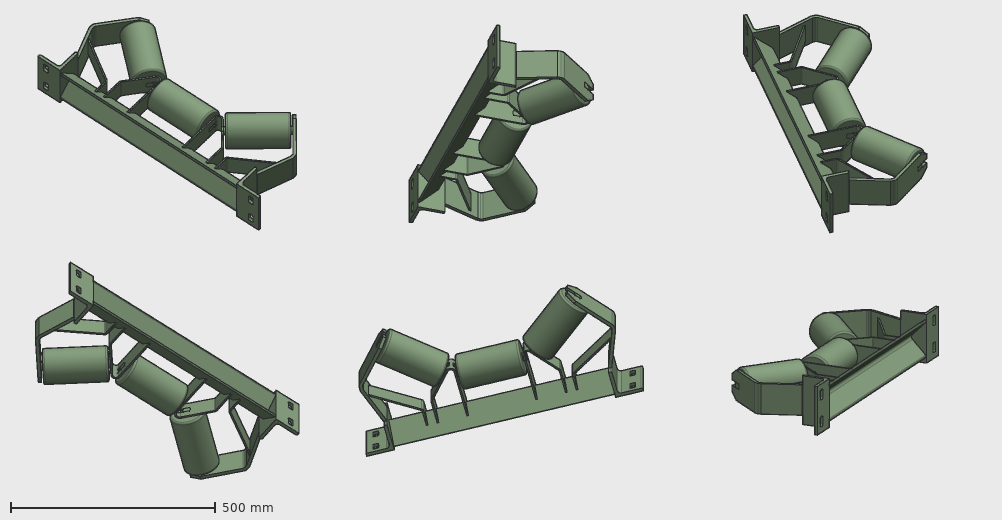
import cadquery as cq
import math

TOTAL_LENGTH = 700.0
HALF_LENGTH = TOTAL_LENGTH / 2

BRACKET_LEG = 70.0
BRACKET_THICKNESS = 8.5
BRACKET_HEIGHT = 125.0
BRACKET_ROOT_RADIUS = 9.0
BRACKET_TOE_RADIUS = 3.5
FOOT_SLOT_WIDTH = 14.0
FOOT_SLOT_LENGTH = 25.0
FOOT_SLOT_CORNER_RADIUS = 3.5
FOOT_SLOT_EDGE_DISTANCE = 25.0
FOOT_SLOT_SPACING = 69.0

BEAM_HALF_LENGTH = HALF_LENGTH - BRACKET_LEG
BEAM_LEG = 70.0
BEAM_THICKNESS = 6.0
BEAM_ROOT_RADIUS = 9.0
BEAM_TOE_RADIUS = 4.0
BEAM_APEX_Y = 53.0

ROLLER_DIAMETER = 89.0
ROLLER_LENGTH = 160.0
ROLLER_EDGE_RADIUS = 5.0
AXLE_DIAMETER = 20.0
AXLE_FLAT_WIDTH = 14.0
AXLE_GAP = 5.0
SLOT_OPENING_LENGTH = ROLLER_DIAMETER
TROUGH_ANGLE = 40.0
CENTRE_ROLLER_Y = 135.0
SIDE_ROLLER_X = 182.0
SIDE_ROLLER_Y = 201.5

SEAT_DISTANCE = ROLLER_LENGTH / 2 + AXLE_GAP

ARM_THICKNESS = 8.5
ARM_HEIGHT = 78.5
ARM_LOWER_ANGLE = 20.0
ARM_BEND_RADIUS = 8.5
ARM_KINK_Y = 165.0
ARM_TIP_Y = 285.5
ARM_TIP_CHAMFER_LENGTH = 25.0
ARM_TIP_CHAMFER_HEIGHT = 17.0

PLATE_THICKNESS = 4.0
PLATE_DEPTH_BELOW_APEX = 26.0
PLATE_END_Y = BEAM_APEX_Y - PLATE_DEPTH_BELOW_APEX
PLATE_HEIGHT = 53.0
HAIRPIN_OUTER_LEG_X = 162.5
HAIRPIN_TOP_RADIUS = 8.5
HAIRPIN_FOOT_RADIUS = 4.0
STRUT_LEG_X = 190.0
STRUT_BEND_Y = 70.0
STRUT_ANGLE = 31.7
STRUT_LENGTH = 140.0
STRUT_BEND_RADIUS = 4.0

TROUGH_COS = math.cos(math.radians(TROUGH_ANGLE))
TROUGH_SIN = math.sin(math.radians(TROUGH_ANGLE))


def mirrored(shape):
    """The same shape on the other side of the YZ plane."""
    return shape.mirror("YZ")


def normal_of(start, end):
    """Unit vector to the left of the direction from start to end."""
    dx = end[0] - start[0]
    dy = end[1] - start[1]
    length = math.hypot(dx, dy)
    return (-dy / length, dx / length)


def offset_path(points, distance):
    """Polyline parallel to the given one, with mitred corners."""
    normals = [normal_of(a, b) for a, b in zip(points, points[1:])]
    before = [normals[0]] + normals
    after = normals + [normals[-1]]
    moved = []
    for (x, y), n1, n2 in zip(points, before, after):
        mitre = distance / (1 + n1[0] * n2[0] + n1[1] * n2[1])
        moved.append((x + mitre * (n1[0] + n2[0]), y + mitre * (n1[1] + n2[1])))
    return moved


def bent_strip(points, thickness, height, bend_radii):
    """Flat bar bent along a centre line, one inner radius per bend (0 leaves it sharp)."""
    left = offset_path(points, thickness / 2)
    right = offset_path(points, -thickness / 2)
    strip = cq.Workplane("XY").polyline(left + right[::-1]).close().extrude(height)
    strip = strip.translate((0, 0, -height / 2))
    corners = zip(points, points[1:], points[2:], left[1:], right[1:], bend_radii)
    for start, bend, end, left_corner, right_corner, radius in corners:
        if radius == 0:
            continue
        n = normal_of(start, bend)
        turns_left = n[0] * (end[0] - bend[0]) + n[1] * (end[1] - bend[1]) > 0
        inner, outer = (left_corner, right_corner) if turns_left else (right_corner, left_corner)
        for corner, edge_radius in ((inner, radius), (outer, radius + thickness)):
            picker = cq.selectors.NearestToPointSelector((corner[0], corner[1], 0))
            strip = strip.edges("|Z").edges(picker).fillet(edge_radius)
    return strip


def angle_section(leg, thickness, root_radius, toe_radius, length):
    """Angle bar along Z with its outer corner on the origin and its legs along +X and +Y."""
    outline = [(0, 0), (leg, 0), (leg, thickness), (thickness, thickness), (thickness, leg), (0, leg)]
    bar = cq.Workplane("XY").workplane(offset=-length / 2).polyline(outline).close().extrude(length)
    corner = cq.selectors.NearestToPointSelector((thickness, thickness, 0))
    bar = bar.edges("|Z").edges(corner).fillet(root_radius)
    for toe in ((leg, thickness, 0), (thickness, leg, 0)):
        bar = bar.edges("|Z").edges(cq.selectors.NearestToPointSelector(toe)).fillet(toe_radius)
    return bar


def on_side_roller(shape):
    """Moves a shape built along X about the origin onto the axis of the left side roller."""
    return shape.rotate((0, 0, 0), (0, 0, 1), -TROUGH_ANGLE).translate((-SIDE_ROLLER_X, SIDE_ROLLER_Y, 0))


def on_centre_roller(shape):
    """Moves a shape built along X about the origin onto the axis of the centre roller."""
    return shape.translate((0, CENTRE_ROLLER_Y, 0))


def roller_point(along, across):
    """Point of the left side roller's own axes: along its axis, and square to it towards +Y."""
    x = -SIDE_ROLLER_X + along * TROUGH_COS + across * TROUGH_SIN
    y = SIDE_ROLLER_Y - along * TROUGH_SIN + across * TROUGH_COS
    return (x, y)



def rod(diameter, start, end):
    """Cylinder around the X axis between two places along it."""
    return cq.Workplane("YZ").workplane(offset=start).circle(diameter / 2).extrude(end - start)


def bar_along_x(width, height, start, end):
    """Rectangular bar around the X axis between two places along it."""
    return cq.Workplane("YZ").workplane(offset=start).rect(width, height).extrude(end - start)


def make_roller():
    """Roller along X with rounded ends and a bore for its axle."""
    roller = rod(ROLLER_DIAMETER, -ROLLER_LENGTH / 2, ROLLER_LENGTH / 2).edges().fillet(ROLLER_EDGE_RADIUS)
    return roller.cut(rod(AXLE_DIAMETER, -ROLLER_LENGTH / 2, ROLLER_LENGTH / 2))


def make_axle(left_seat, right_seat):
    """Axle along X with two flats at each end where it sits in plates of the given thicknesses."""
    left_end = -SEAT_DISTANCE - left_seat
    right_end = SEAT_DISTANCE + right_seat
    round_middle = rod(AXLE_DIAMETER, -SEAT_DISTANCE, SEAT_DISTANCE)
    flatted_core = rod(AXLE_DIAMETER, left_end, right_end).intersect(
        bar_along_x(AXLE_DIAMETER, AXLE_FLAT_WIDTH, left_end, right_end)
    )
    return flatted_core.union(round_middle)


def make_seat_slot(start, end):
    """Cutter for an axle seat between two places along X, open towards +Y."""
    seat = rod(AXLE_DIAMETER, start, end)
    seat = seat.intersect(bar_along_x(AXLE_DIAMETER, AXLE_FLAT_WIDTH, start, end))
    opening = bar_along_x(SLOT_OPENING_LENGTH, AXLE_FLAT_WIDTH, start, end)
    return seat.union(opening.translate((0, SLOT_OPENING_LENGTH / 2, 0)))



def make_arm():
    """Left arm: leans outwards from the bracket, straightens up, then bends in along the roller's end."""
    lean = math.tan(math.radians(ARM_LOWER_ANGLE))
    seat_middle = -(SEAT_DISTANCE + ARM_THICKNESS / 2)
    foot = (-BEAM_HALF_LENGTH - BRACKET_THICKNESS / 2, BRACKET_LEG)
    level = roller_point(seat_middle, 0)
    kink = (foot[0] - lean * (ARM_KINK_Y - foot[1]), ARM_KINK_Y)
    knee = (kink[0], level[1] + (kink[0] - level[0]) * TROUGH_COS / TROUGH_SIN)
    tip_across = (ARM_TIP_Y - roller_point(seat_middle - ARM_THICKNESS / 2, 0)[1]) / TROUGH_COS
    tip = roller_point(seat_middle, tip_across)
    below_foot = (foot[0] + lean * ARM_THICKNESS, foot[1] - ARM_THICKNESS)
    arm = bent_strip([below_foot, kink, knee, tip], ARM_THICKNESS, ARM_HEIGHT, [0, ARM_BEND_RADIUS])

    zone_size = (TOTAL_LENGTH, BRACKET_LEG, BRACKET_HEIGHT)
    bracket_zone = cq.Workplane("XY").box(*zone_size, centered=(True, False, True))
    arm = arm.cut(bracket_zone)

    half_height = ARM_HEIGHT / 2
    for side in (1, -1):
        chamfer = [
            (tip_across, side * half_height),
            (tip_across - ARM_TIP_CHAMFER_LENGTH, side * half_height),
            (tip_across, side * (half_height - ARM_TIP_CHAMFER_HEIGHT)),
        ]
        corner = cq.Workplane("YZ").polyline(chamfer).close().extrude(-ROLLER_LENGTH)
        arm = arm.cut(on_side_roller(corner))

    slot = make_seat_slot(-SEAT_DISTANCE - ARM_THICKNESS, -SEAT_DISTANCE)
    return arm.cut(on_side_roller(slot))



def make_beam():
    """Angle bar along X whose legs open towards -Y."""
    bar = angle_section(BEAM_LEG, BEAM_THICKNESS, BEAM_ROOT_RADIUS, BEAM_TOE_RADIUS, 2 * BEAM_HALF_LENGTH)
    bar = bar.rotate((0, 0, 0), (0, 0, 1), -135)
    bar = bar.rotate((0, 0, 0), (0, 1, 0), 90)
    return bar.translate((0, BEAM_APEX_Y, 0))


def make_bracket():
    """Left mounting bracket with its foot along X and two slots through the foot."""
    bracket = angle_section(
        BRACKET_LEG, BRACKET_THICKNESS, BRACKET_ROOT_RADIUS, BRACKET_TOE_RADIUS, BRACKET_HEIGHT
    )
    bracket = bracket.mirror("YZ").translate((-BEAM_HALF_LENGTH, 0, 0))
    slots = (
        cq.Workplane("XZ")
        .center(-HALF_LENGTH + FOOT_SLOT_EDGE_DISTANCE, 0)
        .rarray(7, FOOT_SLOT_SPACING, 1, 2)
        .rect(FOOT_SLOT_WIDTH, FOOT_SLOT_LENGTH)
        .extrude(-BRACKET_THICKNESS)
        .edges("|Y")
        .fillet(FOOT_SLOT_CORNER_RADIUS)
    )
    return bracket.cut(slots)


def make_beam_notch():
    """Wedge with the outer faces of the beam, which the standing plates are notched to fit."""
    wedge = [(BEAM_APEX_Y, 0), (0, BEAM_APEX_Y), (0, -BEAM_APEX_Y)]
    return cq.Workplane("YZ").polyline(wedge).close().extrude(TOTAL_LENGTH).translate((-HALF_LENGTH, 0, 0))


def make_hairpin():
    """Left hairpin plate between the left and centre rollers, slotted for both axles."""
    slope = TROUGH_COS / TROUGH_SIN
    seat_middle = SEAT_DISTANCE + PLATE_THICKNESS / 2
    level = roller_point(seat_middle, 0)
    outer_x = -HAIRPIN_OUTER_LEG_X
    inner_x = -seat_middle
    path = [
        (outer_x, PLATE_END_Y),
        (outer_x, level[1] + slope * (outer_x - level[0])),
        (inner_x, level[1] + slope * (inner_x - level[0])),
        (inner_x, PLATE_END_Y),
    ]
    hairpin = bent_strip(path, PLATE_THICKNESS, PLATE_HEIGHT, [HAIRPIN_FOOT_RADIUS, HAIRPIN_TOP_RADIUS])
    side_slot = make_seat_slot(SEAT_DISTANCE, SEAT_DISTANCE + PLATE_THICKNESS)
    centre_slot = make_seat_slot(-SEAT_DISTANCE - PLATE_THICKNESS, -SEAT_DISTANCE)
    return hairpin.cut(on_side_roller(side_slot)).cut(on_centre_roller(centre_slot))


def make_strut():
    """Left strut plate from the beam to the arm."""
    angle = math.radians(STRUT_ANGLE)
    bend = (-STRUT_LEG_X, STRUT_BEND_Y)
    end = (bend[0] - STRUT_LENGTH * math.cos(angle), bend[1] + STRUT_LENGTH * math.sin(angle))
    return bent_strip(
        [(-STRUT_LEG_X, PLATE_END_Y), bend, end], PLATE_THICKNESS, PLATE_HEIGHT, [STRUT_BEND_RADIUS]
    )


def make_frame(left_arm):
    """Welded frame, symmetric about the YZ plane; its struts end on the faces of the arms."""
    notch = make_beam_notch()
    strut = make_strut().cut(notch).cut(left_arm)
    frame = make_beam()
    for piece in (make_bracket(), make_hairpin().cut(notch), strut):
        frame = frame.union(piece).union(mirrored(piece))
    return frame


left_arm = make_arm()
arms = [left_arm, mirrored(left_arm)]
frame = make_frame(left_arm)

left_roller = on_side_roller(make_roller())
rollers = [left_roller, on_centre_roller(make_roller()), mirrored(left_roller)]

left_axle = on_side_roller(make_axle(ARM_THICKNESS, PLATE_THICKNESS))
centre_axle = on_centre_roller(make_axle(PLATE_THICKNESS, PLATE_THICKNESS))
axles = [left_axle, centre_axle, mirrored(left_axle)]

result = cq.Compound.makeCompound([body.val() for body in [frame, *arms, *rollers, *axles]])